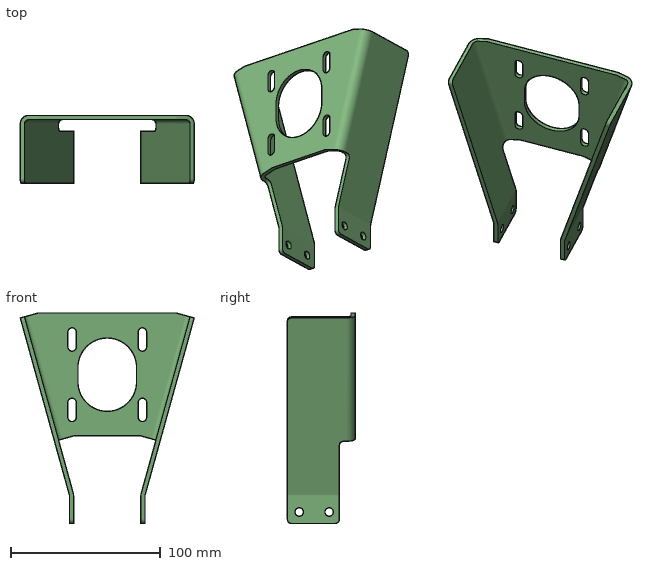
import cadquery as cq
import math

height = 140.8
width = 116.5
depth = 45.5
sheet = 3.0
bend_inner = 3.0
bend_outer = bend_inner + sheet
corner_radius = 3.0
overshoot = 28.2

wall_angle = math.radians(15.5)
tab_spread = 50.7
tab_depth = 34.9
notch_radius = 3.0

top_flat = 92.7
bottom_flat = 44.8
plate_bottom = 58.6

hole_diameter = 5.5
hole_height = 7.7
hole_positions = (8.0, 28.0)
slot_length = 15.5
slot_width = 5.5
slot_spacing = 47.0
opening_width = 39.0
opening_height = 48.9
opening_center = 99.5

slope = math.tan(wall_angle)
half_width = width / 2
half_tab = tab_spread / 2
shoulder_height = height - (half_width - top_flat / 2) * slope
outer_bend_height = shoulder_height - (half_width - half_tab) / slope
inner_bend_height = outer_bend_height + sheet * math.tan(wall_angle / 2)


def mirrored_prism(right_side, y_start, y_end):
    """Extrude an outline mirrored about X = 0, given its right half."""
    left_side = [(-x, z) for x, z in reversed(right_side)]
    plane = cq.Workplane("XZ", origin=(0, y_end, 0))
    return plane.polyline(right_side + left_side).close().extrude(y_end - y_start)


def round_tab_bends(body, bend_x, bend_z, radius):
    """Round the two Y edges where the walls turn into the tabs."""
    for side in (-1, 1):
        edge = cq.selectors.NearestToPointSelector((side * bend_x, depth / 2, bend_z))
        body = body.edges("|Y").edges(edge).fillet(radius)
    return body


def outer_block():
    outline = [
        (half_tab, 0),
        (half_tab, outer_bend_height),
        (half_width, shoulder_height),
        (top_flat / 2, height),
    ]
    block = mirrored_prism(outline, 0, depth)
    return round_tab_bends(block, half_tab, outer_bend_height, bend_inner)


def lower_notch():
    """Space below the back plate and behind the tabs."""
    reach = half_width + overshoot
    end_drop = (reach - bottom_flat / 2) * slope
    outline = [
        (reach, -overshoot),
        (reach, plate_bottom - end_drop),
        (bottom_flat / 2, plate_bottom),
    ]
    notch = mirrored_prism(outline, tab_depth, depth + overshoot)
    return notch.faces("<Y").edges().fillet(notch_radius)


def inner_space():
    """Space between the walls, in front of the back plate."""
    half_gap = half_tab - sheet
    top = height + overshoot
    outline = [
        (half_gap, -overshoot),
        (half_gap, inner_bend_height),
        (half_gap + (top - inner_bend_height) * slope, top),
    ]
    space = mirrored_prism(outline, -overshoot, depth - sheet)
    space = round_tab_bends(space, half_gap, inner_bend_height, bend_outer)
    return space.faces(">Y").edges().fillet(bend_inner)


def round_plate_bends(body):
    """Round the outer edges between the back plate and the sloping walls."""
    middle = (shoulder_height + plate_bottom) / 2
    middle_x = half_tab + (middle - outer_bend_height) * slope
    for side in (-1, 1):
        edge = cq.selectors.NearestToPointSelector((side * middle_x, depth, middle))
        body = body.faces(">Y").edges(edge).fillet(bend_outer)
    return body


def round_corners(body):
    """Round the free corners of the walls and tabs."""
    body = body.faces("<Z").edges("|X").fillet(corner_radius)
    corner_x = half_width - sheet / 2 * math.cos(wall_angle)
    corner_z = shoulder_height + sheet / 2 * math.sin(wall_angle)
    for side in (-1, 1):
        edge = cq.selectors.NearestToPointSelector((side * corner_x, 0, corner_z))
        body = body.edges(edge).fillet(corner_radius)
    return body


def plate_openings():
    plane = cq.Workplane("XZ", origin=(0, depth + sheet, opening_center))
    cut_depth = 3 * sheet
    slots = plane.rect(slot_spacing, slot_spacing, forConstruction=True).vertices()
    slots = slots.slot2D(slot_length, slot_width, 90).extrude(cut_depth)
    opening = plane.slot2D(opening_height, opening_width, 90).extrude(cut_depth)
    return slots.union(opening)


def tab_holes():
    points = [(y, hole_height) for y in hole_positions]
    plane = cq.Workplane("YZ").pushPoints(points)
    return plane.circle(hole_diameter / 2).extrude(width, both=True)


bracket = round_plate_bends(outer_block().cut(lower_notch()))
bracket = round_corners(bracket.cut(inner_space()))
result = bracket.cut(plate_openings()).cut(tab_holes())